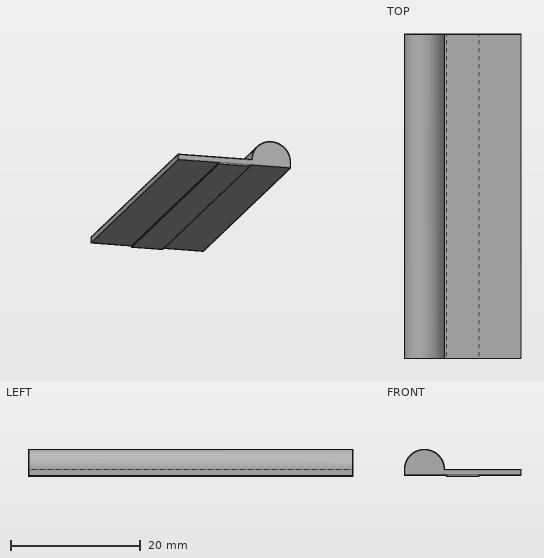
import cadquery as cq

length = 50.0
width = 18.0

flange_thickness = 0.9
bead_radius = 3.1

skin_thickness = 0.1

band_width = 5.0
band_height = 0.2
band_start = 6.5

bead_width = 2 * bead_radius
flange_top = band_height + flange_thickness
bead_top = flange_top + bead_radius
band_end = band_start + band_width


def extrude_along_y(profile):
    """Extrude an XZ profile over the full strip length, centred on Y = 0."""
    return profile.extrude(length / 2, both=True)


def strip_profile():
    """Outline of the flat flange with the half-round bead along its left edge."""
    return (
        cq.Workplane("XZ")
        .moveTo(0, band_height)
        .lineTo(width, band_height)
        .lineTo(width, flange_top)
        .lineTo(bead_width, flange_top)
        .threePointArc((bead_radius, bead_top), (0, flange_top))
        .close()
    )


def strip_core():
    """Inside of the strip, one skin thickness in from its outline."""
    return extrude_along_y(strip_profile().offset2D(-skin_thickness))


def underside_band():
    """Rectangular band below the flange, beside the bead."""
    profile = (
        cq.Workplane("XZ")
        .moveTo(band_start, 0)
        .lineTo(band_end, 0)
        .lineTo(band_end, band_height)
        .lineTo(band_start, band_height)
        .close()
    )
    return extrude_along_y(profile)


skin = extrude_along_y(strip_profile()).cut(strip_core())
result = skin.union(strip_core(), clean=False).union(underside_band(), clean=False)